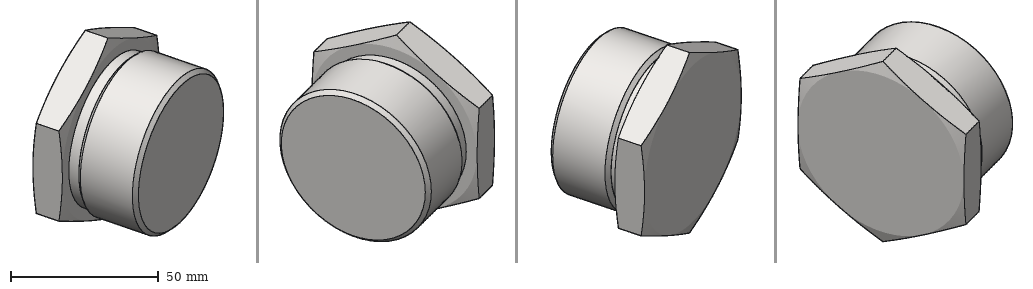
import cadquery as cq
import math

across_corners = 75.05
head_length = 11.6
neck_length = 4.0
total_length = 39.1
neck_diameter = 56.45
body_diameter = 59.6
body_chamfer = 1.5
head_chamfer_angle = 15.0

corner_radius = across_corners / 2
flat_radius = corner_radius * math.cos(math.radians(30))
corner_drop = (corner_radius - flat_radius) * math.tan(math.radians(head_chamfer_angle))
body_start = head_length + neck_length
body_length = total_length - body_start


def make_hex_head():
    """Hexagon with corners on +/-Z, its corners turned down conically at both faces."""
    hexagon = (
        cq.Workplane("YZ")
        .polygon(6, across_corners)
        .extrude(head_length)
        .rotate((0, 0, 0), (1, 0, 0), 90)
    )
    turned_blank = (
        cq.Workplane("XY")
        .moveTo(0, 0)
        .lineTo(0, flat_radius)
        .lineTo(corner_drop, corner_radius)
        .lineTo(head_length - corner_drop, corner_radius)
        .lineTo(head_length, flat_radius)
        .lineTo(head_length, 0)
        .close()
        .revolve(360, (0, 0, 0), (1, 0, 0))
    )
    return hexagon.intersect(turned_blank)


def make_neck():
    """Relief groove between the head and the body."""
    return (
        cq.Workplane("YZ")
        .workplane(offset=head_length)
        .circle(neck_diameter / 2)
        .extrude(neck_length)
    )


def make_body():
    """Cylindrical plug body, chamfered at both ends."""
    return (
        cq.Workplane("YZ")
        .workplane(offset=body_start)
        .circle(body_diameter / 2)
        .extrude(body_length)
        .edges("%CIRCLE")
        .chamfer(body_chamfer)
    )


result = make_hex_head().union(make_neck()).union(make_body())